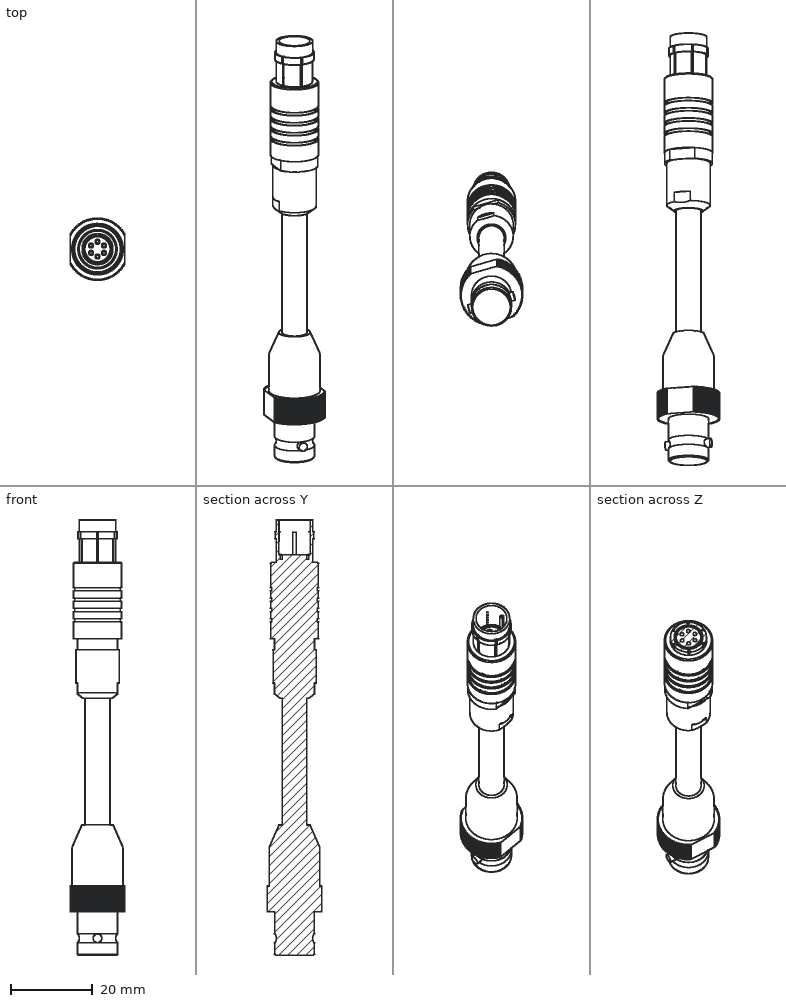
import cadquery as cq
import math

overall_length = 106.8

spigot_radius = 9.8 / 2
spigot_edge_chamfer = 0.3
lug_groove_bottom = 3.1
lug_groove_top = 5.3
lug_groove_depth = 0.4
lug_diameter = 2.1
lug_span = 11.5

nut_bottom = 10.7
nut_top = 17.1
nut_diameter = 15.3
nut_across_flats = 13.5
knurl_count = 90
knurl_depth = 0.2
knurl_tip_share = 0.4

grip_radius = 12.6 / 2
cone_bottom = 26.7
cone_bottom_radius = 12.4 / 2
cone_edge_height = 0.5
cone_top = 32.0
cone_top_radius = 7.7 / 2
cable_radius = 6.2 / 2

back_nut_bottom = 63.0
back_nut_taper_top = 64.4
back_nut_radius = 10.7 / 2
back_nut_end_radius = 7.0 / 2
back_nut_flat_top = 66.7

sleeve_bottom = 74.9
sleeve_flat_top = 77.6
sleeve_top = 96.4
sleeve_radius = 11.9 / 2
sleeve_end_radius = 11.7 / 2
sleeve_edge_chamfer = 0.3
wrench_across_flats = 9.8
grip_groove_count = 4
first_grip_groove = 82.1
grip_groove_pitch = 2.6
grip_groove_width = 0.7
grip_groove_radius = 11.2 / 2

tube_radius = 9.0 / 2
collar_radius = 9.6 / 2
collar_bottom = 102.1
collar_top = 103.9
slit_count = 6
first_slit_angle = 30
slit_width = 0.4
slit_depth = 0.4
socket_diameter = 7.6
socket_depth = 8.5
key_width = 0.9
key_height = 0.5
key_top_depth = 3.0

insert_diameter = 6.2
insert_gap_depth = 1.1
insert_gap_diameter = 6.9

contact_count = 6
first_contact_angle = 30
contact_circle_radius = 3.6 / 2
contact_diameter = 1.2
contact_bore_diameter = 0.76
contact_recess = 0.3
contact_bore_depth = 2.1


def cylinder(radius, bottom, top):
    return cq.Workplane("XY").workplane(offset=bottom).circle(radius).extrude(top - bottom)


def flats_on_x(across_flats, bottom, top):
    """Two blocks that cut a pair of flats facing +X and -X."""
    block_size = nut_diameter
    height = top - bottom
    centre_x = (across_flats + block_size) / 2
    return (
        cq.Workplane("XY")
        .workplane(offset=bottom)
        .pushPoints([(-centre_x, 0), (centre_x, 0)])
        .rect(block_size, block_size)
        .extrude(height)
    )


def spigot_and_cable():
    """One turned body from the spigot face up into the back nut, plus the lugs on -Y and +Y."""
    groove_middle = (lug_groove_bottom + lug_groove_top) / 2
    profile = (
        cq.Workplane("XZ")
        .moveTo(0, 0)
        .lineTo(spigot_radius - spigot_edge_chamfer, 0)
        .lineTo(spigot_radius, spigot_edge_chamfer)
        .lineTo(spigot_radius, lug_groove_bottom)
        .threePointArc((spigot_radius - lug_groove_depth, groove_middle), (spigot_radius, lug_groove_top))
        .lineTo(spigot_radius, nut_top)
        .lineTo(grip_radius, nut_top)
        .lineTo(grip_radius, cone_bottom - cone_edge_height)
        .lineTo(cone_bottom_radius, cone_bottom)
        .lineTo(cone_top_radius, cone_top)
        .lineTo(cable_radius, cone_top)
        .lineTo(cable_radius, back_nut_bottom)
        .lineTo(0, back_nut_bottom)
        .close()
    )
    lugs = (
        cq.Workplane("XZ", origin=(0, 0, groove_middle))
        .circle(lug_diameter / 2)
        .extrude(lug_span / 2, both=True)
    )
    return profile.revolve(360, (0, 0, 0), (0, 1, 0)).union(lugs)


def knurled_nut():
    tip_radius = nut_diameter / 2
    root_radius = tip_radius - knurl_depth
    pitch = 2 * math.pi / knurl_count
    half_tip = knurl_tip_share * pitch / 2
    corners = [
        (tip_radius, -half_tip),
        (tip_radius, half_tip),
        (root_radius, pitch / 2 - half_tip),
        (root_radius, pitch / 2 + half_tip),
    ]
    outline = []
    for tooth in range(knurl_count):
        for radius, offset in corners:
            angle = tooth * pitch + offset
            outline.append((radius * math.sin(angle), radius * math.cos(angle)))
    base = cq.Workplane("XY").workplane(offset=nut_bottom)
    nut = base.polyline(outline).close().extrude(nut_top - nut_bottom)
    return nut.cut(flats_on_x(nut_across_flats, nut_bottom, nut_top))


def back_nut():
    profile = (
        cq.Workplane("XZ")
        .moveTo(0, back_nut_bottom)
        .lineTo(back_nut_end_radius, back_nut_bottom)
        .lineTo(back_nut_radius, back_nut_taper_top)
        .lineTo(back_nut_radius, sleeve_bottom)
        .lineTo(0, sleeve_bottom)
        .close()
    )
    nut = profile.revolve(360, (0, 0, 0), (0, 1, 0))
    return nut.cut(flats_on_x(wrench_across_flats, back_nut_bottom, back_nut_flat_top))


def sleeve():
    body = cylinder(sleeve_radius, sleeve_flat_top, sleeve_top).faces(">Z").chamfer(sleeve_edge_chamfer)
    for index in range(grip_groove_count):
        middle = first_grip_groove + index * grip_groove_pitch
        bottom = middle - grip_groove_width / 2
        top = middle + grip_groove_width / 2
        ring = cylinder(nut_diameter, bottom, top).cut(cylinder(grip_groove_radius, bottom, top))
        body = body.cut(ring)
    end = cylinder(sleeve_end_radius, sleeve_bottom, sleeve_flat_top)
    end = end.cut(flats_on_x(wrench_across_flats, sleeve_bottom, sleeve_flat_top))
    return body.union(end)


def latch_tube():
    tube = cylinder(tube_radius, sleeve_top, overall_length)
    tube = tube.union(cylinder(collar_radius, collar_bottom, collar_top))
    slits = (
        cq.Workplane("XY")
        .workplane(offset=sleeve_top)
        .polarArray(tube_radius, first_slit_angle, 360, slit_count)
        .rect(2 * slit_depth, slit_width)
        .extrude(collar_top - sleeve_top)
    )
    return tube.cut(slits)


def contact_holes(diameter, bottom, top):
    """A ring of round contact holes on the contact circle."""
    return (
        cq.Workplane("XY")
        .workplane(offset=bottom)
        .polarArray(contact_circle_radius, first_contact_angle, 360, contact_count)
        .circle(diameter / 2)
        .extrude(top - bottom)
    )


def socket():
    """Bore of the latch tube, leaving a key on its +Y wall, with the contact holes in its floor."""
    floor = overall_length - socket_depth
    bore = cylinder(socket_diameter / 2, floor, overall_length)
    key = (
        cq.Workplane("XY")
        .workplane(offset=floor)
        .center(0, socket_diameter / 2)
        .rect(key_width, 2 * key_height)
        .extrude(socket_depth - key_top_depth)
    )
    insert_gap = cylinder(insert_gap_diameter / 2, floor - insert_gap_depth, floor)
    insert_gap = insert_gap.cut(cylinder(insert_diameter / 2, floor - insert_gap_depth, floor))
    recesses = contact_holes(contact_diameter, floor - contact_recess, floor)
    bores = contact_holes(contact_bore_diameter, floor - contact_bore_depth, floor)
    return bore.cut(key).union(insert_gap).union(recesses).union(bores)


result = (
    spigot_and_cable()
    .union(knurled_nut())
    .union(back_nut())
    .union(sleeve())
    .union(latch_tube())
    .cut(socket())
)